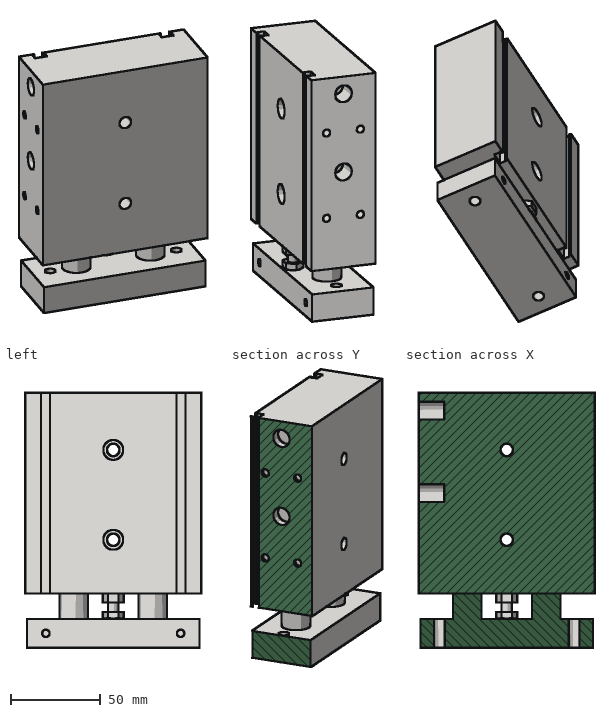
import cadquery as cq
import math

HOUSING_X = 38.0
HOUSING_Y = 98.0
TOTAL_HEIGHT = 142.0
PLATE_X = 36.4
PLATE_Y = 96.0
PLATE_HEIGHT = 16.0
GAP = 14.0
MID_X = HOUSING_X / 2
HOUSING_BOTTOM = PLATE_HEIGHT + GAP
HOUSING_HEIGHT = TOTAL_HEIGHT - HOUSING_BOTTOM

SLOT_Y = 37.6
SLOT_MOUTH_WIDTH = 5.1
SLOT_WIDTH = 6.8
SLOT_LIP = 1.3
SLOT_DEPTH = 5.0

MOUNT_ROWS = (60.0, 110.0)
MOUNT_DIAMETER = 6.8
COUNTERBORE_DIAMETER = 11.1
COUNTERBORE_DEPTH = 6.5
TAPPED_DIAMETER = 4.1
TAPPED_DEPTH = 10.0
TAPPED_SPACING_X = 20.0

PORT_DIAMETER = 9.8
PORT_DEPTH = 14.2
PORT_HEIGHTS = (86.0, 131.9)

ROD_DIAMETER = 16.0
ROD_Y = 22.0
PLATE_HOLE_Y = 37.5
PLATE_HOLE_DIAMETER = 6.0

BOLT_X = 7.0
HEX_FLATS = 10.2
HEX_CORNERS = HEX_FLATS / math.cos(math.pi / 6)
HEAD_HEIGHT = 4.0
HEAD_SEAT_DIAMETER = 9.5
CHAMFER_ANGLE = math.radians(30)
NUT_HEIGHT = 5.0
STUD_DIAMETER = 6.0


def centered_box(size_x, size_y, height, bottom):
    """Box centred on the part's vertical axis."""
    box = cq.Workplane("XY").box(size_x, size_y, height, centered=(True, True, False))
    return box.translate((MID_X, 0, bottom))


def cylinder(diameter, length, start, direction):
    """Round bar or drill from a start point along a direction."""
    return cq.Workplane(
        cq.Solid.makeCylinder(diameter / 2, length, cq.Vector(*start), cq.Vector(*direction))
    )


def hexagon(height, bottom):
    """Hexagonal prism on the bolt axis with corners toward +Y and -Y."""
    prism = cq.Workplane("XY").polygon(6, HEX_CORNERS).extrude(height)
    return prism.rotate((0, 0, 0), (0, 0, 1), 90).translate((BOLT_X, 0, bottom))


def t_slot(y):
    """Cutter for one T-slot open to the -X face."""
    mouth = cq.Workplane("XY").box(
        SLOT_DEPTH, SLOT_MOUTH_WIDTH, HOUSING_HEIGHT, centered=(False, True, False)
    )
    pocket = cq.Workplane("XY").box(
        SLOT_DEPTH - SLOT_LIP, SLOT_WIDTH, HOUSING_HEIGHT, centered=(False, True, False)
    )
    return mouth.union(pocket.translate((SLOT_LIP, 0, 0))).translate((0, y, HOUSING_BOTTOM))


def make_housing():
    """Cylinder block with T-slots, mounting holes, tapped holes and ports."""
    body = centered_box(HOUSING_X, HOUSING_Y, HOUSING_HEIGHT, HOUSING_BOTTOM)
    front_y = -HOUSING_Y / 2
    for side in (-1, 1):
        body = body.cut(t_slot(side * SLOT_Y))
    for z in MOUNT_ROWS:
        body = body.cut(cylinder(MOUNT_DIAMETER, HOUSING_X, (0, 0, z), (1, 0, 0)))
        body = body.cut(cylinder(COUNTERBORE_DIAMETER, COUNTERBORE_DEPTH, (0, 0, z), (1, 0, 0)))
        for side in (-1, 1):
            x = MID_X + side * TAPPED_SPACING_X / 2
            body = body.cut(cylinder(TAPPED_DIAMETER, TAPPED_DEPTH, (x, front_y, z), (0, 1, 0)))
    for z in PORT_HEIGHTS:
        body = body.cut(cylinder(PORT_DIAMETER, PORT_DEPTH, (MID_X, front_y, z), (0, 1, 0)))
    return body


def make_rod_plate():
    """End plate with its two guide rods, which reach the underside of the housing."""
    body = centered_box(PLATE_X, PLATE_Y, PLATE_HEIGHT, 0)
    face_x = MID_X - PLATE_X / 2
    for side in (-1, 1):
        body = body.union(cylinder(ROD_DIAMETER, HOUSING_BOTTOM, (MID_X, side * ROD_Y, 0), (0, 0, 1)))
        y = side * PLATE_HOLE_Y
        body = body.cut(cylinder(PLATE_HOLE_DIAMETER, PLATE_HEIGHT, (MID_X, y, 0), (0, 0, 1)))
        tapped_start = (face_x, y, PLATE_HEIGHT / 2)
        body = body.cut(cylinder(TAPPED_DIAMETER, TAPPED_DEPTH, tapped_start, (1, 0, 0)))
    return body


def make_stop_bolt():
    """Bolt and nut filling the gap between the plate and the housing."""
    chamfer_reach = HEAD_HEIGHT / math.tan(CHAMFER_ANGLE)
    seat_radius = HEAD_SEAT_DIAMETER / 2
    chamfer_cone = cq.Workplane(
        cq.Solid.makeCone(
            seat_radius, seat_radius + chamfer_reach, HEAD_HEIGHT, cq.Vector(BOLT_X, 0, PLATE_HEIGHT)
        )
    )
    head = hexagon(HEAD_HEIGHT, PLATE_HEIGHT).intersect(chamfer_cone)
    stud = cylinder(STUD_DIAMETER, GAP, (BOLT_X, 0, PLATE_HEIGHT), (0, 0, 1))
    nut = hexagon(NUT_HEIGHT, HOUSING_BOTTOM - NUT_HEIGHT)
    return head.union(stud).union(nut)


housing = make_housing()
rod_plate = make_rod_plate()
stop_bolt = make_stop_bolt()

result = cq.Compound.makeCompound(
    [
        *housing.vals(),
        *rod_plate.vals(),
        *stop_bolt.vals(),
    ]
)